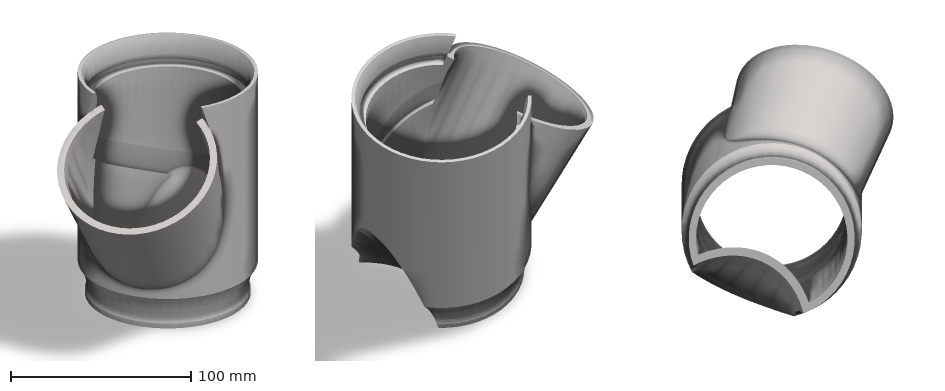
import cadquery as cq
import math


height = 135.88
body_radius = 50.0
bore_radius = 42.0

collar_height = 20.0
flange_radius = 46.0
flange_height = 3.0
neck_radius = 45.2
neck_z = 6.0
socket_depth = 17.0
stack_pitch = height - socket_depth

branch_tilt = 35.0
branch_taper = 4.5
inner_taper = 3.2
mouth_radius = 45.0
branch_wall = 4.0
mouth_y = -58.3
mouth_z = 105.7
branch_length = 90.0
clearance_length = 60.0

recess_wall = 4.2

undercut_tilt = 29.0
undercut_depth = 2.0
undercut_rise = 15.0
undercut_z = 75.0


def tangent_arc_middle(z_start, r_start, z_end, r_end):
    """Middle point of an arc that leaves (r_start, z_start) parallel to the axis."""
    rise = r_end - r_start
    run = z_end - z_start
    arc_radius = (rise**2 + run**2) / (2 * rise)
    half_angle = math.atan2(rise, abs(run))
    r_middle = r_start + arc_radius * (1 - math.cos(half_angle))
    z_middle = z_start + math.copysign(arc_radius * math.sin(half_angle), run)
    return (r_middle, z_middle)


def revolved_outer(top_z):
    """Solid of revolution with the collar profile at its base."""
    groove_middle = tangent_arc_middle(neck_z, neck_radius, flange_height, flange_radius)
    flare_middle = tangent_arc_middle(neck_z, neck_radius, collar_height, body_radius)
    return (
        cq.Workplane("XZ")
        .moveTo(0, 0)
        .lineTo(flange_radius, 0)
        .lineTo(flange_radius, flange_height)
        .threePointArc(groove_middle, (neck_radius, neck_z))
        .threePointArc(flare_middle, (body_radius, collar_height))
        .lineTo(body_radius, top_z)
        .lineTo(0, top_z)
        .close()
        .revolve(360, (0, 0, 0), (0, 1, 0))
    )


def branch_cone(radius_at_mouth, taper, length_below, length_above):
    """Cone on the branch axis, reaching below and above the mouth plane."""
    slope = math.tan(math.radians(taper))
    low_radius = radius_at_mouth - length_below * slope
    high_radius = radius_at_mouth + length_above * slope
    tilt = math.radians(branch_tilt)
    direction = cq.Vector(0, -math.sin(tilt), math.cos(tilt))
    low_center = cq.Vector(0, mouth_y, mouth_z) - direction * length_below
    cone = cq.Solid.makeCone(low_radius, high_radius, length_below + length_above, low_center, direction)
    return cq.Workplane(cone)


def as_module_below(shape):
    """Place a shape where the next module down the stack carries it."""
    return shape.rotate((0, 0, 0), (0, 0, 1), 180).translate((0, 0, -stack_pitch))


def undercut():
    """Tapered ring widening from the bore wall down to a flat inclined ledge."""
    stretch = 1 / math.cos(math.radians(undercut_tilt))
    ledge_radius = bore_radius + undercut_depth
    sections = []
    for z, radius in [(undercut_z, ledge_radius), (undercut_z + undercut_rise, bore_radius)]:
        section = (
            cq.Workplane("XY", origin=(0, 0, z))
            .transformed(rotate=(-undercut_tilt, 0, 0))
            .ellipse(radius, radius * stretch)
        )
        sections.append(section.val())
    return cq.Workplane(cq.Solid.makeLoft(sections, True))


def cavity():
    """Through bore and undercut, held back where the recess needs a wall."""
    recess_backing = branch_cone(
        mouth_radius + recess_wall, branch_taper, branch_length, clearance_length
    )
    bore = cq.Workplane("XY").circle(bore_radius).extrude(height)
    return bore.union(undercut()).cut(as_module_below(recess_backing))


def socket():
    """Space taken by the collar of the module above."""
    return revolved_outer(collar_height + flange_height).translate((0, 0, stack_pitch))


clearance_cone = branch_cone(mouth_radius, branch_taper, branch_length, clearance_length)
branch_outer = branch_cone(mouth_radius, branch_taper, branch_length, 0)
branch_inner = branch_cone(mouth_radius - branch_wall, inner_taper, branch_length, clearance_length)

result = (
    revolved_outer(height)
    .cut(socket())
    .cut(clearance_cone)
    .union(branch_outer)
    .cut(branch_inner)
    .cut(cavity())
    .cut(as_module_below(clearance_cone))
)